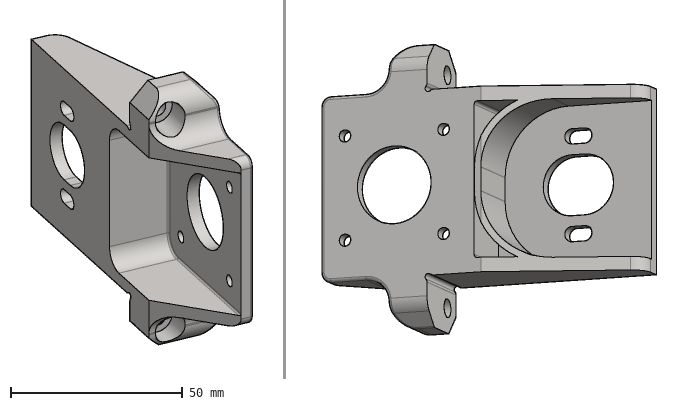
import cadquery as cq
import math

length = 96.0
depth = 23.5
height = 84.0
half_height = height / 2

plate = 4.0
body_half = 27.6
inner_half = body_half - plate
body_corner = 3.0
ramp_start = 9.1
ramp_end = 45.8
ramp_nose = 6.0

ear_left = 62.8
ear_right = 75.0
ear_round = 7.0
ear_chamfer = 6.0
ear_chamfer_round = 6.0
ear_hole = 5.5
ear_counterbore = 9.8
ear_seat = 4.0
ear_hole_y = 7.0
ear_hole_z = 34.6
relief_radius = 1.0
relief_blend = 1.4
relief_offset = 0.4
rear_round = 1.0

motor_x = 73.1
recess_left = 49.9
recess_corner = 6.0
recess_floor_round = 0.6
motor_bore = 23.0
motor_screw = 3.6
motor_screw_pitch = 30.9

cavity_radius = 20.0
cavity_right = 45.9
web = 2.0
corner_pocket_right = 48.0
corner_pocket_round = 1.0
corner_pocket_half = 23.2

slot_x = 22.9
slot_travel = 3.9
bore_slot = 18.0
screw_slot = 4.5
screw_slot_z = 14.5


def front_sketch(y=0.0):
    """Sketch plane at depth y with local axes along X and Z; a negative extrusion runs toward +Y."""
    return cq.Workplane("XZ", origin=(0, y, 0))


def both_sides(solid):
    """The solid together with its mirror image below Z = 0."""
    return solid.union(solid.mirror("XY"))


def upper_outline():
    """Upper half of the front outline, extruded over the full depth."""
    diagonal = math.radians(45)
    round_share = 1 - math.cos(diagonal)
    tip = ear_round * round_share
    corner = body_corner * round_share

    center_gap = relief_radius + relief_blend
    center_rise = relief_offset + relief_blend
    center_run = math.sqrt(center_gap ** 2 - center_rise ** 2)
    blend_start = relief_offset + center_run
    touch_out = blend_start - relief_blend * center_run / center_gap
    touch_in = relief_blend - relief_blend * center_rise / center_gap
    blend_half_angle = math.atan2(center_run, center_rise) / 2
    mid_out = blend_start - relief_blend * math.sin(blend_half_angle)
    mid_in = relief_blend * (1 - math.cos(blend_half_angle))
    relief_bottom = relief_radius * math.cos(diagonal) - relief_offset

    return (
        front_sketch()
        .moveTo(0, 0)
        .lineTo(0, body_half)
        .lineTo(ear_left - blend_start, body_half)
        .threePointArc(
            (ear_left - mid_out, body_half - mid_in),
            (ear_left - touch_out, body_half - touch_in),
        )
        .threePointArc(
            (ear_left + relief_bottom, body_half - relief_bottom),
            (ear_left + touch_in, body_half + touch_out),
        )
        .threePointArc(
            (ear_left + mid_in, body_half + mid_out),
            (ear_left, body_half + blend_start),
        )
        .lineTo(ear_left, half_height)
        .lineTo(ear_right - ear_round, half_height)
        .threePointArc((ear_right - tip, half_height - tip), (ear_right, half_height - ear_round))
        .lineTo(ear_right, body_half + ear_round)
        .threePointArc((ear_right + tip, body_half + tip), (ear_right + ear_round, body_half))
        .lineTo(length - body_corner, body_half)
        .threePointArc((length - corner, body_half - corner), (length, body_half - body_corner))
        .lineTo(length, 0)
        .close()
        .extrude(-depth)
    )


def side_profile():
    """Side shape of the body: rear ramp with a rounded nose at -X, sloped front at +X."""
    profile = (
        cq.Workplane("XY", origin=(0, 0, -half_height))
        .polyline([
            (0, 0),
            (ear_right, 0),
            (length, depth - plate),
            (length, depth),
            (ramp_end, depth),
            (0, ramp_start),
        ])
        .close()
        .extrude(height)
    )
    return profile.edges(cq.selectors.NearestToPointSelector((0, ramp_start, 0))).fillet(ramp_nose)


def end_profile():
    """End shape of the body: ear tips chamfered at front and rear."""
    profile = (
        cq.Workplane("YZ")
        .rect(depth, height)
        .extrude(length)
        .translate((0, depth / 2, 0))
        .edges("|X")
        .chamfer(ear_chamfer)
    )
    for side in (1, -1):
        point = (length / 2, depth, side * (half_height - ear_chamfer))
        profile = profile.edges(cq.selectors.NearestToPointSelector(point)).fillet(ear_chamfer_round)
    return profile


def round_rear_outline(solid):
    """Round the rear outline; the rounding runs on from one ear tip to the other by tangency."""
    tip = ((ear_left + ear_right - ear_round) / 2, depth - ear_chamfer, half_height)
    return solid.edges(cq.selectors.NearestToPointSelector(tip)).fillet(rear_round)


def motor_recess():
    """Square recess for the motor; its +X corners lie beyond the body so that end is open."""
    width = length - recess_left + recess_corner
    return (
        front_sketch()
        .center(recess_left + width / 2, 0)
        .rect(width, 2 * inner_half)
        .extrude(-(depth - plate))
        .edges("|Y")
        .fillet(recess_corner)
        .faces(">Y")
        .edges()
        .fillet(recess_floor_round)
    )


def rounded_cavity(right, radius, half):
    """Rear cavity from beyond X = 0 to a +X end whose corners have the given radius."""
    return (
        front_sketch(plate)
        .center(right - length / 2, 0)
        .rect(length, 2 * half)
        .extrude(-depth)
        .edges("|Y and >X")
        .fillet(radius)
    )


def corner_pockets():
    """Pockets left in the corners between the rounded cavity wall and the motor recess."""
    block = rounded_cavity(corner_pocket_right, corner_pocket_round, corner_pocket_half)
    kept = rounded_cavity(cavity_right + web, cavity_radius + web, inner_half + web)
    return block.cut(kept)


def plate_openings():
    """Motor bore with four screw holes, and the slotted bore with two slots."""
    motor = front_sketch().center(motor_x, 0).circle(motor_bore / 2).extrude(-depth)
    screws = (
        front_sketch()
        .center(motor_x, 0)
        .rect(motor_screw_pitch, motor_screw_pitch, forConstruction=True)
        .vertices()
        .circle(motor_screw / 2)
        .extrude(-depth)
    )
    bore = front_sketch().center(slot_x, 0).slot2D(bore_slot + slot_travel, bore_slot).extrude(-depth)
    slots = (
        front_sketch()
        .pushPoints([(slot_x, screw_slot_z), (slot_x, -screw_slot_z)])
        .slot2D(screw_slot + slot_travel, screw_slot)
        .extrude(-depth)
    )
    return motor.union(screws).union(bore).union(slots)


def ear_holes():
    """Holes along X through both ears, counterbored from +X."""
    centers = [(ear_hole_y, ear_hole_z), (ear_hole_y, -ear_hole_z)]
    face = cq.Workplane("YZ", origin=(ear_left, 0, 0)).pushPoints(centers)
    seat = cq.Workplane("YZ", origin=(ear_left + ear_seat, 0, 0)).pushPoints(centers)
    through = face.circle(ear_hole / 2).extrude(length - ear_left)
    counterbores = seat.circle(ear_counterbore / 2).extrude(length - ear_left)
    return through.union(counterbores)


blank = both_sides(upper_outline()).intersect(end_profile()).clean()
result = (
    round_rear_outline(blank)
    .intersect(side_profile())
    .cut(motor_recess())
    .cut(rounded_cavity(cavity_right, cavity_radius, inner_half))
    .cut(corner_pockets())
    .cut(plate_openings())
    .cut(ear_holes())
)